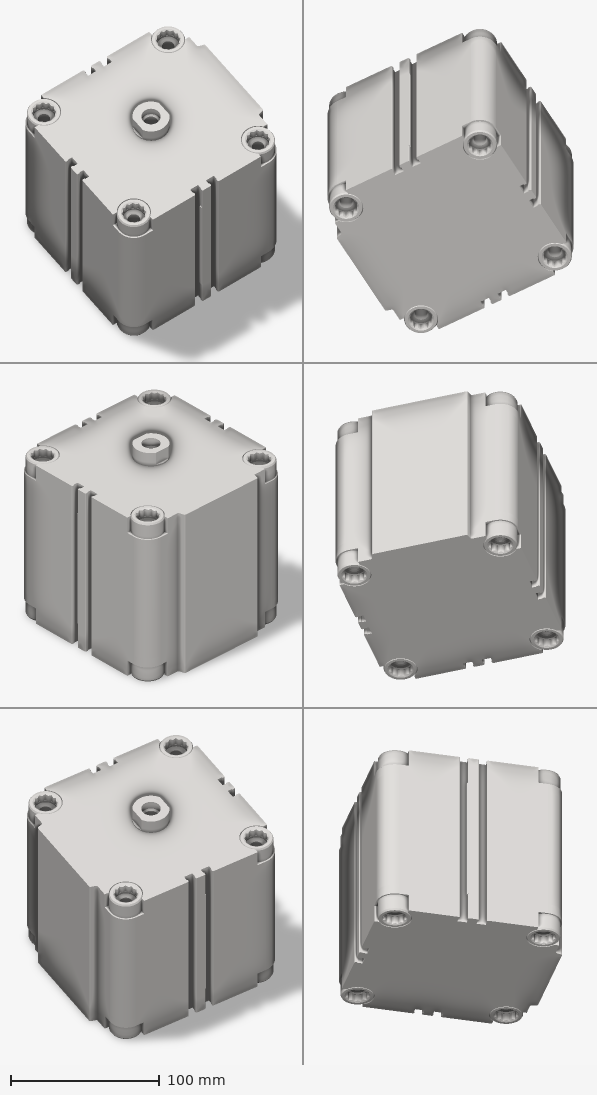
import cadquery as cq
import math

TOTAL_HEIGHT = 136.5
HOUSING_SIZE = 128.0
HOUSING_DEPTH = 133.0
HOUSING_HEIGHT = 126.0
CAP_HEIGHT = 19.2
CORNER_OFFSET = 51.5
HALF_SIZE = HOUSING_SIZE / 2
CORNER_RADIUS = HALF_SIZE - CORNER_OFFSET
CORNERS = [(x, y) for x in (-CORNER_OFFSET, CORNER_OFFSET) for y in (-CORNER_OFFSET, CORNER_OFFSET)]

RIB_DEPTH = HOUSING_DEPTH - HOUSING_SIZE
RIB_TOP_WIDTH = 67.2
RIB_BASE_WIDTH = 69.9
RIB_ROUND = 1.1
RIB_FOOT = 4.1

SLOT_OFFSET = 6.5
SLOT_DEPTH = 5.6
SLOT_LIP = 2.2
SLOT_WIDTH = 6.5
SLOT_OPENING = 5.5
SLOT_MOUTH_BEVEL = 0.5
SHIFTED_LIP = 0.5

POCKET_SIZE = 19.2
POCKET_DEPTH = 12.1
HEAD_DIAMETER = 23.0
HEAD_TOP_DIAMETER = 21.5
HEAD_TAPER = 1.2

SOCKET_POINTS = 12
SOCKET_MOUTH_DIAMETER = 17.5
SOCKET_BEVEL = 1.1
SOCKET_BEVEL_END_DIAMETER = 14.7
SOCKET_TIP_DIAMETER = 16.5
SOCKET_DEPTH = 6.1
SOCKET_RELIEF_DIAMETER = 15.4
SOCKET_FLOOR = 7.5
CAP_BORE_DIAMETER = 8.3
BARREL_BORE_DIAMETER = 8.0
BORE_MOUTH_DIAMETER = 10.1

ROD_DIAMETER = 25.0
ROD_LENGTH = TOTAL_HEIGHT - HOUSING_HEIGHT + CAP_HEIGHT
ROD_FLATS = 22.0
ROD_FLAT_HEIGHT = 9.4
ROD_COUNTERBORE_DIAMETER = 13.0
ROD_COUNTERBORE_DEPTH = 6.1
ROD_BORE_DIAMETER = 10.1
ROD_BORE_DEPTH = 20.5

DRILL_TIP_ANGLE = 120.0


def cone(start_diameter, end_diameter, height, z):
    """Frustum rising from z, with its axis on Z."""
    profile = [(0, z), (start_diameter / 2, z), (end_diameter / 2, z + height), (0, z + height)]
    return cq.Workplane("XZ").polyline(profile).close().revolve(360, (0, 0), (0, 1))


def cylinder(diameter, height, z):
    return cq.Workplane("XY").workplane(offset=z).circle(diameter / 2).extrude(height)


def tip_height(diameter):
    """Height of a drill tip of the given diameter."""
    return diameter / 2 / math.tan(math.radians(DRILL_TIP_ANGLE / 2))


def at_corners(shape):
    """Copies of a shape on the four screw axes."""
    copies = cq.Workplane("XY")
    for x, y in CORNERS:
        copies = copies.add(shape.translate((x, y, 0)))
    return copies.combine()


def rib(height):
    """Tapered rib along the +Y face, rounded along its crest and along its foot."""
    top = HALF_SIZE + RIB_DEPTH
    foot_end = RIB_BASE_WIDTH / 2 + RIB_FOOT
    root = HALF_SIZE - RIB_FOOT
    outline = [
        (-foot_end, HALF_SIZE),
        (-RIB_BASE_WIDTH / 2, HALF_SIZE),
        (-RIB_TOP_WIDTH / 2, top),
        (RIB_TOP_WIDTH / 2, top),
        (RIB_BASE_WIDTH / 2, HALF_SIZE),
        (foot_end, HALF_SIZE),
        (foot_end, root),
        (-foot_end, root),
    ]
    strip = cq.Workplane("XY").polyline(outline).close().extrude(height)
    margin = RIB_FOOT / 2
    flank_edges = cq.selectors.BoxSelector(
        (-RIB_BASE_WIDTH / 2 - margin, HALF_SIZE - margin, 0),
        (RIB_BASE_WIDTH / 2 + margin, top + margin, height),
    )
    return strip.edges("|Z").edges(flank_edges).fillet(RIB_ROUND)


def slot(height, inner_lip=0.0):
    """T-slot cutter for the -Y face, right of its middle; inner_lip narrows the side near the middle."""
    half_opening = SLOT_OPENING / 2
    outer = SLOT_OFFSET + half_opening
    inner = SLOT_OFFSET - half_opening + inner_lip
    face = -HALF_SIZE
    outline = [
        (outer + SLOT_MOUTH_BEVEL, face),
        (outer, face + SLOT_MOUTH_BEVEL),
        (outer, face + SLOT_LIP),
        (SLOT_OFFSET + SLOT_WIDTH / 2, face + SLOT_LIP),
        (SLOT_OFFSET + SLOT_WIDTH / 2, face + SLOT_DEPTH),
        (SLOT_OFFSET - SLOT_WIDTH / 2, face + SLOT_DEPTH),
        (SLOT_OFFSET - SLOT_WIDTH / 2, face + SLOT_LIP),
        (inner, face + SLOT_LIP),
        (inner, face + SLOT_MOUTH_BEVEL),
        (inner - SLOT_MOUTH_BEVEL, face),
    ]
    return cq.Workplane("XY").polyline(outline).close().extrude(height)


def housing_section(height, side_lip=0.0):
    """Length of the housing profile from z = 0; side_lip narrows the -Y slot of both side faces."""
    section = cq.Workplane("XY").rect(HOUSING_SIZE, HOUSING_SIZE).extrude(height)
    section = section.edges("|Z").fillet(CORNER_RADIUS).union(rib(height))
    front_slot = slot(height)
    right_slot = front_slot.rotate((0, 0, 0), (0, 0, 1), 90)
    left_low_slot = slot(height, side_lip).rotate((0, 0, 0), (0, 0, 1), -90)
    slots = [
        front_slot,
        front_slot.mirror("YZ"),
        right_slot,
        left_low_slot.mirror("YZ"),
        left_low_slot,
        right_slot.mirror("YZ"),
    ]
    for cutter in slots:
        section = section.cut(cutter)
    return section


def corner_pockets():
    """Square corner pockets at the top of a cap, open to both outer faces."""
    centre = HALF_SIZE - POCKET_SIZE / 2
    centres = [(x, y) for x in (-centre, centre) for y in (-centre, centre)]
    floor = cq.Workplane("XY").workplane(offset=CAP_HEIGHT - POCKET_DEPTH)
    return floor.pushPoints(centres).rect(POCKET_SIZE, POCKET_SIZE).extrude(POCKET_DEPTH)


def screw_head():
    """Round head that stands in a corner pocket, level with the cap's end face."""
    shank = cylinder(HEAD_DIAMETER, POCKET_DEPTH - HEAD_TAPER, CAP_HEIGHT - POCKET_DEPTH)
    return shank.union(cone(HEAD_DIAMETER, HEAD_TOP_DIAMETER, HEAD_TAPER, CAP_HEIGHT - HEAD_TAPER))


def head_recess():
    """Space around one head's tapered edge, where the head is sunk into the cap."""
    return cylinder(HEAD_DIAMETER, HEAD_TAPER, CAP_HEIGHT - HEAD_TAPER)


def screw_socket():
    """Twelve-point socket with a bevelled mouth, a round relief below and a bore through the cap."""
    star_floor = CAP_HEIGHT - SOCKET_DEPTH
    relief_floor = CAP_HEIGHT - SOCKET_FLOOR
    hexagon = cq.Workplane("XY").workplane(offset=star_floor).polygon(SOCKET_POINTS // 2, SOCKET_TIP_DIAMETER)
    hexagon = hexagon.extrude(SOCKET_DEPTH)
    socket = hexagon.union(hexagon.rotate((0, 0, 0), (0, 0, 1), 360 / SOCKET_POINTS))

    mouth = cone(SOCKET_BEVEL_END_DIAMETER, SOCKET_MOUTH_DIAMETER, SOCKET_BEVEL, CAP_HEIGHT - SOCKET_BEVEL)
    socket = socket.union(mouth)
    socket = socket.union(cylinder(SOCKET_RELIEF_DIAMETER, SOCKET_FLOOR - SOCKET_DEPTH, relief_floor))

    bevel = tip_height(BORE_MOUTH_DIAMETER) - tip_height(CAP_BORE_DIAMETER)
    socket = socket.union(cone(CAP_BORE_DIAMETER, BORE_MOUTH_DIAMETER, bevel, relief_floor - bevel))
    return socket.union(cylinder(CAP_BORE_DIAMETER, relief_floor, 0))


def make_cap():
    """End section with its outer end upwards, standing on z = 0."""
    cap = housing_section(CAP_HEIGHT)
    cap = cap.cut(corner_pockets()).cut(at_corners(head_recess()))
    return cap.union(at_corners(screw_head())).cut(at_corners(screw_socket()))


def make_housing():
    """Barrel between two mirrored caps; the seams around the barrel stay as face edges."""
    barrel_height = HOUSING_HEIGHT - 2 * CAP_HEIGHT
    barrel = housing_section(barrel_height, SHIFTED_LIP)
    barrel = barrel.cut(at_corners(cylinder(BARREL_BORE_DIAMETER, barrel_height, 0)))
    barrel = barrel.translate((0, 0, CAP_HEIGHT))

    cap = make_cap()
    bottom_cap = cap.mirror("XY").translate((0, 0, CAP_HEIGHT))
    top_cap = cap.translate((0, 0, HOUSING_HEIGHT - CAP_HEIGHT))
    rod_hole = cylinder(ROD_DIAMETER, ROD_LENGTH, TOTAL_HEIGHT - ROD_LENGTH)
    top_cap = top_cap.cut(rod_hole)
    return barrel.union(bottom_cap, clean=False).union(top_cap, clean=False)


def make_rod():
    """Piston rod end with two wrench flats and a counterbored blind hole."""
    rod = cylinder(ROD_DIAMETER, ROD_LENGTH, TOTAL_HEIGHT - ROD_LENGTH)

    flat_cut = (ROD_DIAMETER - ROD_FLATS) / 2
    flat_centre = (ROD_FLATS + flat_cut) / 2
    flats = cq.Workplane("XY").workplane(offset=TOTAL_HEIGHT - ROD_FLAT_HEIGHT)
    flats = flats.pushPoints([(0, -flat_centre), (0, flat_centre)])
    rod = rod.cut(flats.rect(ROD_DIAMETER, flat_cut).extrude(ROD_FLAT_HEIGHT))

    counterbore_floor = TOTAL_HEIGHT - ROD_COUNTERBORE_DEPTH
    bore_floor = TOTAL_HEIGHT - ROD_BORE_DEPTH
    tip = tip_height(ROD_BORE_DIAMETER)
    bevel = tip_height(ROD_COUNTERBORE_DIAMETER) - tip
    profile = [
        (0, TOTAL_HEIGHT),
        (ROD_COUNTERBORE_DIAMETER / 2, TOTAL_HEIGHT),
        (ROD_COUNTERBORE_DIAMETER / 2, counterbore_floor),
        (ROD_BORE_DIAMETER / 2, counterbore_floor - bevel),
        (ROD_BORE_DIAMETER / 2, bore_floor),
        (0, bore_floor - tip),
    ]
    return rod.cut(cq.Workplane("XZ").polyline(profile).close().revolve(360, (0, 0), (0, 1)))


housing = make_housing()
rod = make_rod()
result = cq.Compound.makeCompound([housing.solids().val(), rod.val()])